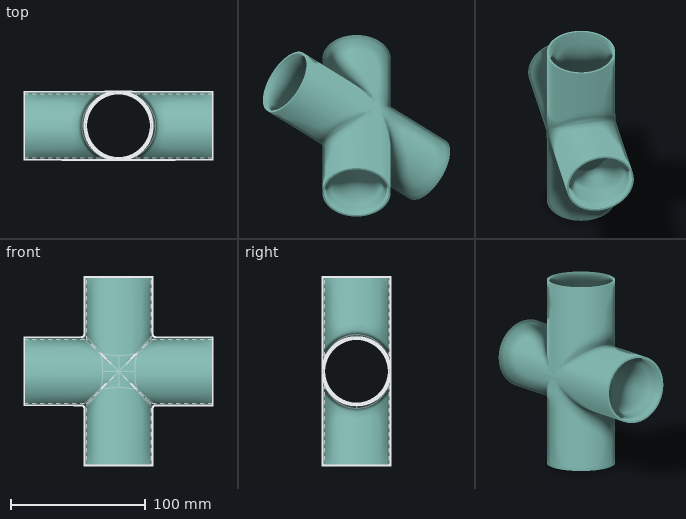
import cadquery as cq
import math

LENGTH = 140.0
OUTER_DIAMETER = 50.8
BORE_DIAMETER = 47.8
FILLET_RADIUS = 2.0
CROWN_HEIGHT = 51.04 / 2
CROWN_HALF_WIDTH = 11.9
CROWN_CORNER_FAR = 13.2

ARM_LENGTH = LENGTH / 2
OUTER_RADIUS = OUTER_DIAMETER / 2
CONTACT_SLOPE = (OUTER_RADIUS + FILLET_RADIUS) / OUTER_RADIUS
CROWN_CORNER_NEAR = CROWN_CORNER_FAR / CONTACT_SLOPE
CROWN_CORNER_MIDDLE = (CROWN_CORNER_FAR + CROWN_CORNER_NEAR) / 2
CROWN_BASE = OUTER_RADIUS / 2


def turned_about_y(shape, angle):
    return shape.rotate((0, 0, 0), (0, 1, 0), angle)


def four_around_y(shape):
    """The shape repeated at quarter turns about the Y axis, joined into one."""
    joined = shape
    for angle in (90, 180, 270):
        joined = joined.union(turned_about_y(shape, angle))
    return joined


def crossed_pipes(diameter):
    """Four solid arms along +-X and +-Z, mitred against each other at 45 degrees."""
    mitre = (
        cq.Workplane("XZ")
        .polyline([(0, 0), (ARM_LENGTH, ARM_LENGTH), (-ARM_LENGTH, ARM_LENGTH)])
        .close()
        .extrude(diameter, both=True)
    )
    arm = cq.Workplane("XY").circle(diameter / 2).extrude(ARM_LENGTH).intersect(mitre)
    return four_around_y(arm)


def fillet_crotches(pipes):
    """Round the eight quarter-ellipse edges where neighbouring arms meet."""
    return pipes.edges("%ELLIPSE").fillet(FILLET_RADIUS)


def crown_octant_prism():
    """Prism along +Y over the eighth of the crown from the +Z axis to the X = Z diagonal."""
    bow_rise = CROWN_CORNER_FAR - CROWN_HALF_WIDTH
    bow_radius = (CROWN_CORNER_NEAR**2 + bow_rise**2) / (2 * bow_rise)
    bow_x = CROWN_CORNER_NEAR / 2
    bow_z = CROWN_HALF_WIDTH + bow_radius - math.sqrt(bow_radius**2 - bow_x**2)
    return (
        cq.Workplane("XZ", origin=(0, CROWN_BASE, 0))
        .lineTo(0, CROWN_HALF_WIDTH)
        .threePointArc((bow_x, bow_z), (CROWN_CORNER_NEAR, CROWN_CORNER_FAR))
        .lineTo(CROWN_CORNER_MIDDLE, CROWN_CORNER_MIDDLE)
        .close()
        .extrude(-OUTER_RADIUS)
    )


def seam_wall(seam):
    """Flat wall from a dome seam straight down to the base of the crown block."""
    outer_top = seam.startPoint()
    centre_top = seam.endPoint()
    outer_foot = cq.Vector(outer_top.x, CROWN_BASE, outer_top.z)
    centre_foot = cq.Vector(centre_top.x, CROWN_BASE, centre_top.z)
    other_sides = [
        cq.Edge.makeLine(centre_top, centre_foot),
        cq.Edge.makeLine(centre_foot, outer_foot),
        cq.Edge.makeLine(outer_foot, outer_top),
    ]
    return cq.Face.makeFromWires(cq.Wire.assembleEdges([seam, *other_sides]))


def domed_octant(pipes, prism):
    """One eighth of a crown block, its top a smooth patch from the pipes to the crown centre."""
    bowed_side = prism.faces("%CYLINDER").val()
    clipped_corner = prism.faces(">X").val()
    outer_walls = [wall.intersect(pipes.val()).Faces()[0] for wall in (bowed_side, clipped_corner)]
    rim = [cq.Workplane(wall).edges(">Y").val() for wall in outer_walls]

    centre = cq.Vector(0, CROWN_HEIGHT, 0)
    side_middle = cq.Vector(0, OUTER_RADIUS, CROWN_HALF_WIDTH)
    along_pipe = cq.Vector(0, 0, -1)
    side_seam = cq.Edge.makeSpline([side_middle, centre], tangents=[along_pipe, along_pipe])
    corner = cq.Workplane(outer_walls[1]).vertices(">X").vertices(">Y").val().Center()
    along_mitre = cq.Vector(-1, corner.x / corner.y, -1)
    level_diagonal = cq.Vector(-1, 0, -1)
    corner_seam = cq.Edge.makeSpline([corner, centre], tangents=[along_mitre, level_diagonal])

    dome = cq.Face.makeNSidedSurface([side_seam, corner_seam, *rim], [])
    base = prism.faces("<Y").val()
    faces = [base, *outer_walls, seam_wall(side_seam), seam_wall(corner_seam), dome]
    return cq.Workplane(cq.Solid.makeSolid(cq.Shell.makeShell(faces)))


def full_crown(octant):
    """All eight octants around the Y axis, in mirrored pairs."""
    mirrored_octant = turned_about_y(octant.mirror("YZ"), 90)
    return four_around_y(octant.union(mirrored_octant))


def replace_crowns(pipes):
    """Exchange the creased crossings on the +Y and -Y sides for smooth crowns."""
    octant_prism = crown_octant_prism()
    creased = full_crown(octant_prism)
    domed = full_crown(domed_octant(pipes, octant_prism))
    pipes = pipes.cut(creased).union(domed)
    return pipes.cut(creased.mirror("XZ")).union(domed.mirror("XZ"))


outside = replace_crowns(fillet_crotches(crossed_pipes(OUTER_DIAMETER)))
result = outside.cut(crossed_pipes(BORE_DIAMETER))